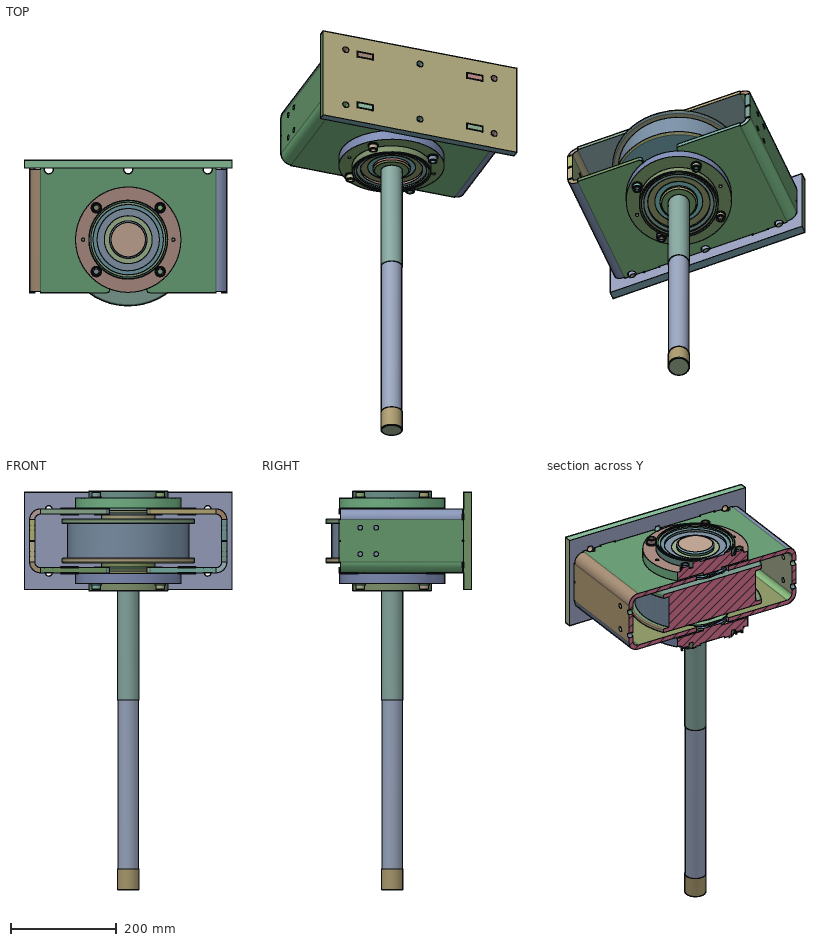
import cadquery as cq


overall_height = 754.5

plate_width = 392.0
plate_height = 184.0
plate_back = 150.0
plate_thickness = 15.0
plate_front = plate_back - plate_thickness
plate_hole_radius = 6.0
fixing_x = (-150.0, 0, 150.0)

frame_half_width = 186.0
frame_half_height = 60.0
frame_wall = 10.0
web_inside = frame_half_height - frame_wall
frame_bend_radius = 20.0
frame_front = -100.0
frame_relief_radius = 8.0
frame_relief_depth = 10.5
notch_half_width = 35.5
notch_corner_radius = 5.0
selection_margin = 1.0
end_setback = 2.0
nick_width = 2.0
side_hole_radius = 4.5
side_hole_z = 25.0
side_hole_y = (-30.0, -60.0)

tab_center_x = 111.0
tab_width = 30.0
tab_clearance = 1.5

rim_radius = 125.0
rim_outer_z = 41.5
rim_inner_z = 32.5
rim_round = 2.0
tread_radius = 115.0
hub_radius = 50.5

spigot_radius = 64.0
spigot_low = 49.0
neck_radius = 57.0
neck_low = 53.0
neck_high = 57.0
flange_radius = 99.5
flange_gap = 1.5
flange_z = 81.0
cap_radius = 75.0
cap_z = 94.0
cap_chamfer = 1.0
cap_bores = ((71.0, 92.0), (66.5, 89.0), (59.0, 84.5), (45.0, 84.0))
stub_radius = 35.5
stub_z = 91.0
stub_chamfer = 3.0
bolt_offset = 60.0
bolt_radius = 8.0
bolt_z = 92.0
bolt_chamfer = 1.0
washer_radius = 10.0
washer_thickness = 2.0
socket_radius = 5.0
socket_depth = 5.0
pin_hole_x = 85.0
pin_hole_radius = 3.0
pin_hole_depth = 7.5

shaft_radius = 20.0
shaft_waist_radius = 19.5
shaft_upper_end = -301.0
shaft_lower_start = -620.0
shaft_end = cap_z - overall_height
shaft_chamfer = 1.5


def disc(radius, z_low, z_high):
    """Cylinder about the wheel axis."""
    return cq.Workplane("XY").workplane(offset=z_low).circle(radius).extrude(z_high - z_low)


def block(width, y_low, y_high, z_low, z_high, center_x=0.0):
    """Box centred on center_x, given by its limits in Y and Z."""
    depth = y_high - y_low
    height = z_high - z_low
    center = (center_x, (y_low + y_high) / 2, (z_low + z_high) / 2)
    return cq.Workplane("XY").box(width, depth, height).translate(center)


def mirrored(half):
    """The upper half together with its mirror image below."""
    return half.union(half.mirror("XY"))


def make_plate():
    plate = block(plate_width, plate_front, plate_back, -plate_height / 2, plate_height / 2)
    hole_centers = [(x, z) for x in fixing_x for z in (-frame_half_height, frame_half_height)]
    holes = (
        cq.Workplane("XZ", origin=(0, plate_back, 0))
        .pushPoints(hole_centers)
        .circle(plate_hole_radius)
        .extrude(plate_thickness)
    )
    plate = plate.cut(holes)
    for x in (-tab_center_x, tab_center_x):
        slot = block(
            tab_width + 2 * tab_clearance,
            plate_front,
            plate_back,
            web_inside - tab_clearance,
            frame_half_height + tab_clearance,
            x,
        )
        plate = plate.cut(mirrored(slot))
    return plate


def make_frame():
    outside = block(
        2 * frame_half_width, frame_front, plate_front, -frame_half_height, frame_half_height
    )
    inside = block(
        2 * (frame_half_width - frame_wall), frame_front, plate_front, -web_inside, web_inside
    )
    outside = outside.edges("|Y").fillet(frame_bend_radius)
    inside = inside.edges("|Y").fillet(frame_bend_radius - frame_wall)
    frame = outside.cut(inside)

    notch = block(2 * notch_half_width, frame_front, 0, -frame_half_height, frame_half_height)
    frame = frame.cut(notch)
    frame = frame.edges(
        cq.selectors.BoxSelector(
            (-notch_half_width - selection_margin, frame_front - selection_margin, -frame_half_height),
            (notch_half_width + selection_margin, frame_front + selection_margin, frame_half_height),
        )
    ).edges("|Z").fillet(notch_corner_radius)

    bend_x = frame_half_width - frame_bend_radius / 2
    bend_low = frame_half_height - frame_bend_radius
    for end_low in (frame_front, plate_front - end_setback):
        end_high = end_low + end_setback
        for x in (-bend_x, bend_x):
            bend_end = block(frame_bend_radius, end_low, end_high, bend_low, frame_half_height, x)
            nick = block(frame_bend_radius, end_low, end_high, -nick_width / 2, nick_width / 2, x)
            frame = frame.cut(mirrored(bend_end)).cut(nick)

    relief_center_y = plate_front - frame_relief_depth + frame_relief_radius
    for x in fixing_x:
        relief = (
            disc(frame_relief_radius, -frame_half_height, frame_half_height)
            .translate((x, relief_center_y, 0))
            .intersect(outside)
        )
        frame = frame.cut(relief)

    side_holes = (
        cq.Workplane("YZ")
        .pushPoints([(y, z) for y in side_hole_y for z in (-side_hole_z, side_hole_z)])
        .circle(side_hole_radius)
        .extrude(frame_half_width, both=True)
    )
    frame = frame.cut(side_holes)

    for x in (-tab_center_x, tab_center_x):
        tab = block(tab_width, plate_front, plate_back, web_inside, frame_half_height, x)
        frame = frame.union(mirrored(tab))
    return frame


def make_wheel():
    rim = disc(rim_radius, rim_inner_z, rim_outer_z).edges().fillet(rim_round)
    tread = disc(tread_radius, -rim_outer_z + rim_round, rim_outer_z - rim_round)
    hub = disc(hub_radius, -web_inside, web_inside)
    return mirrored(rim).union(tread).union(hub)


def make_housing():
    """Upper bearing housing: spigot, flange, recessed cap, stub and bolts."""
    flange_low = frame_half_height + flange_gap
    spigot = disc(spigot_radius, spigot_low, flange_low)
    neck_groove = disc(spigot_radius, neck_low, neck_high).cut(disc(neck_radius, neck_low, neck_high))
    flange = disc(flange_radius, flange_low, flange_z)
    cap = disc(cap_radius, flange_z, cap_z).faces(">Z").chamfer(cap_chamfer)
    for radius, floor_z in cap_bores:
        cap = cap.cut(disc(radius, floor_z, cap_z))
    stub = disc(stub_radius, flange_z, stub_z).faces(">Z").chamfer(stub_chamfer)
    pin_holes = (
        cq.Workplane("XY", origin=(0, 0, flange_z))
        .pushPoints([(-pin_hole_x, 0), (pin_hole_x, 0)])
        .circle(pin_hole_radius)
        .extrude(-pin_hole_depth)
    )
    housing = spigot.cut(neck_groove).union(flange).union(cap).union(stub).cut(pin_holes)

    bolt = disc(bolt_radius, flange_z, bolt_z).faces(">Z").edges().chamfer(bolt_chamfer)
    bolt = bolt.union(disc(washer_radius, flange_z, flange_z + washer_thickness))
    socket = disc(socket_radius, bolt_z - socket_depth, bolt_z)
    for x in (-bolt_offset, bolt_offset):
        for y in (-bolt_offset, bolt_offset):
            housing = housing.union(bolt.translate((x, y, 0)))
            housing = housing.cut(socket.translate((x, y, 0)))
    return housing


def make_shaft():
    upper = disc(shaft_radius, shaft_upper_end, -flange_z)
    waist = disc(shaft_waist_radius, shaft_lower_start, shaft_upper_end)
    lower = disc(shaft_radius, shaft_end, shaft_lower_start).faces("<Z").chamfer(shaft_chamfer)
    return upper.union(waist).union(lower)


result = (
    make_plate()
    .union(make_frame())
    .union(make_wheel())
    .union(mirrored(make_housing()))
    .union(make_shaft())
)